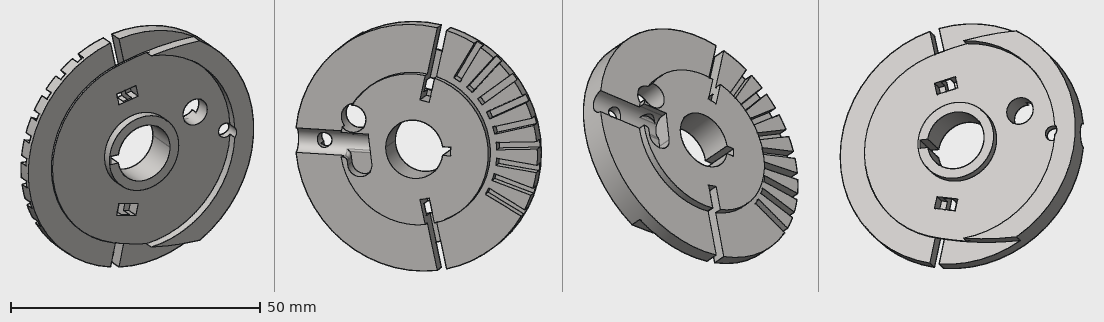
import cadquery as cq
import math

BOSS_FACE = 0.0
DISC_FRONT = 1.5
DISC_BACK = 4.5
PAD_BACK = 5.0
RIM_BACK = 7.0

DISC_RADIUS = 25.3
BOSS_RADIUS = 15.5
HUB_RADIUS = 8.0
BORE_RADIUS = 6.0
PAD_RADIUS = 20.0
RIM_INNER_RADIUS = 20.95

RIM_HALF_ANGLE = 59.5
CAM_START_ANGLE = 108.7
CAM_BULGE = 0.75

KEY_WIDTH = 1.75
KEY_REACH = 7.6

CLAMP_SLOT_WIDTH = 2.0
CLAMP_SLOT_INNER_RADIUS = 10.3
CLAMP_SLOT_ANGLES = (102.2, -102.2)

CROSS_POCKET_FLOOR = 2.15
CROSS_POCKET_LENGTH = 4.5
CROSS_POCKET_INNER_RADIUS = 11.55
CROSS_POCKET_OUTER_RADIUS = 14.05

GROOVE_COUNT = 9
GROOVE_PITCH = 11.0
GROOVE_MIDDLE_ANGLE = 164.3
GROOVE_WIDTH = 1.5
GROOVE_DEPTH = 2.05
GROOVE_INNER_RADIUS = 16.8

CHANNEL_RADIUS = 2.55
CHANNEL_AXIS_X = 1.2

POCKET_RADIUS = 2.55
POCKET_BOTTOM = (11.4, -3.8)
POCKET_LENGTH = 3.7
POCKET_TILT = 7.0
POCKET_DEPTH = 3.1
CHANNEL_EDGE_ROUND = 0.8

CUTTER_FRONT = CHANNEL_AXIS_X - CHANNEL_RADIUS

LARGE_HOLE = (12.9, 5.45, 2.8)
SMALL_HOLE = (19.85, 0.0, 1.5)


def polar(radius, angle):
    """Point (Y, Z) at an angle in degrees measured from +Y towards +Z."""
    return radius * math.cos(math.radians(angle)), radius * math.sin(math.radians(angle))


def layer(start_x):
    """Sketch plane with local axes along Y and Z, extruding towards +X."""
    return cq.Workplane("YZ", origin=(start_x, 0, 0))


def cylinder(radius, start_x, end_x, centre=(0, 0)):
    return layer(start_x).center(*centre).circle(radius).extrude(end_x - start_x)


def radial_bar(inner_radius, width, angle, start_x, end_x):
    """Straight bar from a given radius out past the edge of the disc."""
    length = DISC_RADIUS + width - inner_radius
    bar = layer(start_x).center(inner_radius + length / 2, 0).rect(length, width)
    return bar.extrude(end_x - start_x).rotate((0, 0, 0), (1, 0, 0), angle)


def cam_flank_middle():
    """Middle point of the outward-bulging arc between pad circle and rim corner."""
    start = polar(PAD_RADIUS, CAM_START_ANGLE)
    end = polar(DISC_RADIUS, RIM_HALF_ANGLE)
    chord_y, chord_z = end[0] - start[0], end[1] - start[1]
    chord = math.hypot(chord_y, chord_z)
    middle_y = (start[0] + end[0]) / 2 - CAM_BULGE * chord_z / chord
    middle_z = (start[1] + end[1]) / 2 + CAM_BULGE * chord_y / chord
    return middle_y, middle_z


def cam(end_x):
    """Back layer: pad circle on the -Y side, flaring out to the disc edge on the +Y side."""
    rim_y, rim_z = polar(DISC_RADIUS, RIM_HALF_ANGLE)
    pad_y, pad_z = polar(PAD_RADIUS, CAM_START_ANGLE)
    flank_y, flank_z = cam_flank_middle()
    outline = (
        layer(DISC_BACK)
        .moveTo(rim_y, -rim_z)
        .threePointArc((DISC_RADIUS, 0), (rim_y, rim_z))
        .threePointArc((flank_y, flank_z), (pad_y, pad_z))
        .threePointArc((-PAD_RADIUS, 0), (pad_y, -pad_z))
        .threePointArc((flank_y, -flank_z), (rim_y, -rim_z))
        .close()
    )
    return outline.extrude(end_x - DISC_BACK)


def front_body():
    """Disc and front boss with the clamp slots and the radial grooves."""
    body = cylinder(DISC_RADIUS, DISC_FRONT, DISC_BACK)
    body = body.union(cylinder(BOSS_RADIUS, BOSS_FACE, DISC_FRONT))
    for angle in CLAMP_SLOT_ANGLES:
        body = body.cut(
            radial_bar(CLAMP_SLOT_INNER_RADIUS, CLAMP_SLOT_WIDTH, angle, BOSS_FACE, DISC_BACK)
        )
    first_angle = GROOVE_MIDDLE_ANGLE - GROOVE_PITCH * (GROOVE_COUNT - 1) / 2
    for index in range(GROOVE_COUNT):
        angle = first_angle + index * GROOVE_PITCH
        body = body.cut(
            radial_bar(GROOVE_INNER_RADIUS, GROOVE_WIDTH, angle, DISC_FRONT, DISC_FRONT + GROOVE_DEPTH)
        )
    return body


def back_body():
    """Low pad, the raised rim crescent around it and the hub."""
    rim = cam(RIM_BACK).cut(cylinder(RIM_INNER_RADIUS, DISC_BACK, RIM_BACK))
    return cam(PAD_BACK).union(rim).union(cylinder(HUB_RADIUS, DISC_BACK, RIM_BACK))


def cross_pocket(angle):
    """Rectangular pocket from the back, opening into the clamp slot at the given angle."""
    width = CROSS_POCKET_OUTER_RADIUS - CROSS_POCKET_INNER_RADIUS
    middle_radius = CROSS_POCKET_INNER_RADIUS + width / 2
    outline = layer(CROSS_POCKET_FLOOR).center(middle_radius, 0).rect(width, CROSS_POCKET_LENGTH)
    return outline.extrude(RIM_BACK - CROSS_POCKET_FLOOR).rotate((0, 0, 0), (1, 0, 0), angle)


def keyed_bore():
    key_slot = layer(BOSS_FACE).center(-KEY_REACH / 2, 0).rect(KEY_REACH, KEY_WIDTH)
    return cylinder(BORE_RADIUS, BOSS_FACE, RIM_BACK).union(key_slot.extrude(RIM_BACK))


def channel():
    """Half-round channel with straight walls, ended by a plane along the pocket's inner wall."""
    length = DISC_RADIUS
    diameter = 2 * CHANNEL_RADIUS
    start = cq.Workplane("XZ", origin=(CHANNEL_AXIS_X, DISC_RADIUS, 0))
    groove = start.circle(CHANNEL_RADIUS).extrude(length)
    walls = start.center(-CHANNEL_RADIUS / 2, 0).rect(CHANNEL_RADIUS, diameter).extrude(length)
    reach = cq.Workplane("XY").box(2 * diameter, length, 4 * diameter)
    reach = reach.translate((CHANNEL_AXIS_X, length / 2 - POCKET_RADIUS, 0))
    reach = reach.rotate((0, 0, 0), (1, 0, 0), -POCKET_TILT).translate((0, *POCKET_BOTTOM))
    return groove.union(walls).intersect(reach)


def pocket():
    """Round-ended blind pocket, tilted towards +Y at its upper end."""
    diameter = 2 * POCKET_RADIUS
    outline = layer(CUTTER_FRONT).center(POCKET_LENGTH / 2, 0).slot2D(POCKET_LENGTH + diameter, diameter)
    blank = outline.extrude(POCKET_DEPTH - CUTTER_FRONT)
    return blank.rotate((0, 0, 0), (1, 0, 0), 90 - POCKET_TILT).translate((0, *POCKET_BOTTOM))


def rounded_channel_and_pocket():
    """Channel and pocket together, with the long edges where they meet rounded."""
    cutter = channel().union(pocket())
    margin = 0.5
    low_corner = (
        CUTTER_FRONT - margin,
        POCKET_BOTTOM[0] - POCKET_RADIUS - margin,
        -CHANNEL_RADIUS - margin,
    )
    high_corner = (
        POCKET_DEPTH + margin,
        POCKET_BOTTOM[0] + POCKET_RADIUS + margin,
        CHANNEL_RADIUS - margin,
    )
    meeting_edges = cq.selectors.BoxSelector(low_corner, high_corner, boundingbox=True)
    return cutter.edges(meeting_edges).fillet(CHANNEL_EDGE_ROUND)


body = front_body().union(back_body()).cut(keyed_bore())
for slot_angle in CLAMP_SLOT_ANGLES:
    body = body.cut(cross_pocket(slot_angle))
body = body.cut(rounded_channel_and_pocket())
for hole_y, hole_z, hole_radius in (LARGE_HOLE, SMALL_HOLE):
    body = body.cut(cylinder(hole_radius, BOSS_FACE, RIM_BACK, (hole_y, hole_z)))

result = body